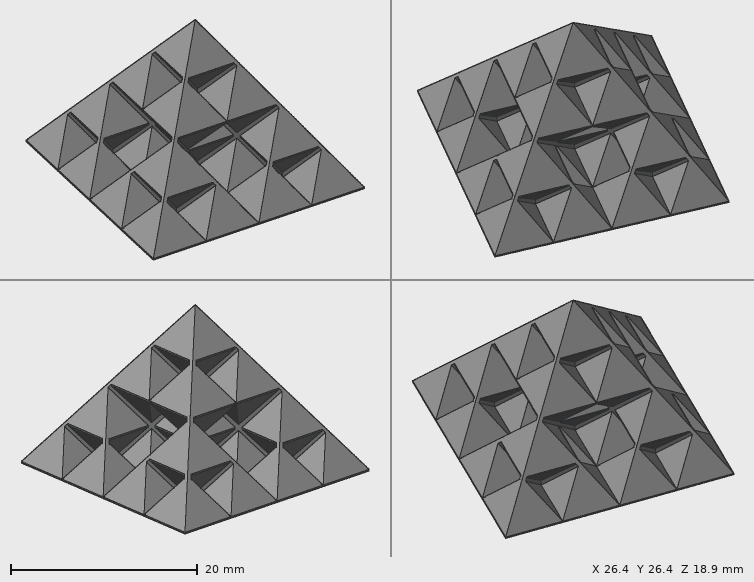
import cadquery as cq
import math

BASE_SIZE = 26.43
LEVELS = 2
PLINTH = 0.19
WEB_OFFSET = 0.5
HEIGHT_RATIO = 1 / math.sqrt(2)
SIDE_ANGLES = (0, 90, 180, 270)


def pyramid(size, height):
    """Square pyramid on the origin with its base at z = 0; a negative height points it down."""
    half = size / 2
    profile = [(-half, 0), (half, 0), (0, height)]
    along_y = cq.Workplane("XZ").polyline(profile).close().extrude(half, both=True)
    along_x = cq.Workplane("YZ").polyline(profile).close().extrude(half, both=True)
    return along_x.intersect(along_y)


def face_void(child):
    """Void under the -Y face of an upright pyramid whose children have the given base side."""
    height = child * HEIGHT_RATIO
    half = child / 2
    gap_profile = [(0, 0), (half, height), (-half, height)]
    gap = cq.Workplane("XZ").polyline(gap_profile).close().extrude(child)
    room_profile = [(-child, 0), (0, 0), (-half, height)]
    room = cq.Workplane("YZ").polyline(room_profile).close().extrude(half, both=True)
    web_front = -child - WEB_OFFSET
    web_profile = [(0, -WEB_OFFSET), (-child, web_front), (child, web_front)]
    web_limits = cq.Workplane("XY").polyline(web_profile).close().extrude(height)
    return gap.intersect(room).intersect(web_limits)


def children_of(size, x, y, z, up):
    """Half-size pyramids inside a pyramid, as (size, x, y, base z, points up)."""
    child = size / 2
    shift = child / 2
    rise = child * HEIGHT_RATIO * (1 if up else -1)
    corners = [(child, x + sx * shift, y + sy * shift, z, up) for sx in (-1, 1) for sy in (-1, 1)]
    return corners + [(child, x, y, z + rise, up), (child, x, y, z + rise, not up)]


cells = [(BASE_SIZE, 0, 0, PLINTH, True)]
voids = []
for _ in range(LEVELS):
    parent_size = cells[0][0]
    upright_void = face_void(parent_size / 2)
    flipped_void = upright_void.mirror("XY")
    for _, x, y, z, up in cells:
        shape = upright_void if up else flipped_void
        for angle in SIDE_ANGLES:
            voids.append(shape.rotate((0, 0, 0), (0, 0, 1), angle).translate((x, y, z)))
    cells = [child for cell in cells for child in children_of(*cell)]

result = pyramid(BASE_SIZE, BASE_SIZE * HEIGHT_RATIO).translate((0, 0, PLINTH))
for void in voids:
    result = result.cut(void)

cell_size = BASE_SIZE / 2**LEVELS
plinth = cq.Workplane("XY").box(cell_size, cell_size, PLINTH, centered=(True, True, False))
hanging_pyramid = pyramid(cell_size, PLINTH - cell_size * HEIGHT_RATIO)
for _, x, y, z, up in cells:
    addition = plinth if up else hanging_pyramid
    result = result.union(addition.translate((x, y, z - PLINTH)))
result = result.clean()